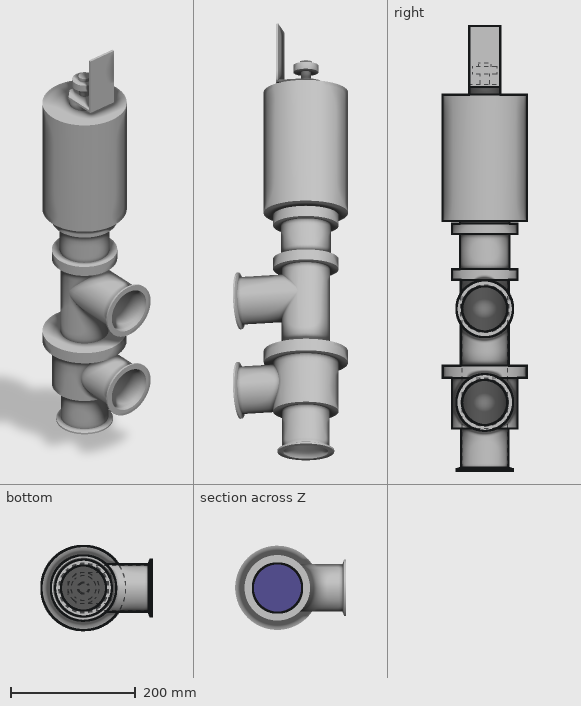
import cadquery as cq
import math

PIPE_DIAMETER = 76.3
PIPE_WALL = 2.0
BORE_DIAMETER = PIPE_DIAMETER - 2 * PIPE_WALL
FERRULE_DIAMETER = 91.0
FERRULE_RIM = 2.85
FERRULE_TAPER_ANGLE = 20.0
FERRULE_TAPER = (FERRULE_DIAMETER - PIPE_DIAMETER) / 2 * math.tan(math.radians(FERRULE_TAPER_ANGLE))

UPPER_TUBE_DIAMETER = 77.3
CHAMBER_DIAMETER = 105.0
BODY_FLANGE_DIAMETER = 135.0
CHAMBER_BOTTOM = 68.0
BODY_FLANGE_BOTTOM = 149.5
BODY_FLANGE_TOP = 169.0
COLLAR_DIAMETER = 105.0
COLLAR_THICKNESS = 17.0
HOUSING_TOP = 323.5
COLLAR_BOTTOM = HOUSING_TOP - COLLAR_THICKNESS
LOWER_BRANCH_HEIGHT = 110.0
BRANCH_SPACING = 150.0
BRANCH_HEIGHTS = (LOWER_BRANCH_HEIGHT, LOWER_BRANCH_HEIGHT + BRANCH_SPACING)
BRANCH_REACH = 110.0

NECK_DIAMETER = 80.0
NECK_COLLAR_BOTTOM = 379.5
NECK_COLLAR_TOP = NECK_COLLAR_BOTTOM + COLLAR_THICKNESS
CYLINDER_DIAMETER = 135.5
CYLINDER_BOTTOM = 400.5
CYLINDER_TOP = 603.0
BOSS_DIAMETER = 50.0
BOSS_LAYER = 6.0
BOSS_LAYERS = 2
BOSS_TOP = CYLINDER_TOP + BOSS_LAYERS * BOSS_LAYER
STEM_DIAMETER = 16.0
KNOB_DIAMETER = 40.0
KNOB_BOTTOM = 636.5
KNOB_TOP = 648.0
TIP_DIAMETER = 19.5
TIP_TOP = 654.0

BRACKET_WIDTH = BOSS_DIAMETER
BRACKET_THICKNESS = 4.0
BRACKET_TOP = 713.15
BRACKET_REACH = 44.0
BRACKET_CORNER = BRACKET_WIDTH / (2 + math.sqrt(2))


def disc(diameter, bottom, top):
    """Round section on the main axis between two heights."""
    return cq.Workplane("XY").workplane(offset=bottom).circle(diameter / 2).extrude(top - bottom)


def stack(sections):
    """Join (diameter, bottom, top) round sections on the main axis."""
    body = disc(*sections[0])
    for section in sections[1:]:
        body = body.union(disc(*section), clean=False)
    return body


def pipe_end(length):
    """Solid pipe along +Z from the origin, flaring to a ferrule rim at its far end."""
    pipe_radius = PIPE_DIAMETER / 2
    rim_radius = FERRULE_DIAMETER / 2
    rim_start = length - FERRULE_RIM
    outline = [
        (0, 0),
        (pipe_radius, 0),
        (pipe_radius, rim_start - FERRULE_TAPER),
        (rim_radius, rim_start),
        (rim_radius, length),
        (0, length),
    ]
    return cq.Workplane("XZ").polyline(outline).close().revolve(360, (0, 0), (0, 1))


def branch(solid, height):
    """Turn a solid that points along +Z to point along +X at the given height."""
    return solid.rotate((0, 0, 0), (0, 1, 0), 90).translate((0, 0, height))


def build_housing():
    """Two-chamber valve housing with a bottom port and two side ports."""
    housing = stack([
        (CHAMBER_DIAMETER, CHAMBER_BOTTOM, BODY_FLANGE_BOTTOM),
        (BODY_FLANGE_DIAMETER, BODY_FLANGE_BOTTOM, BODY_FLANGE_TOP),
        (UPPER_TUBE_DIAMETER, BODY_FLANGE_TOP, COLLAR_BOTTOM),
        (COLLAR_DIAMETER, COLLAR_BOTTOM, HOUSING_TOP),
    ])
    bottom_port = pipe_end(CHAMBER_BOTTOM).rotate((0, 0, 0), (1, 0, 0), 180)
    housing = housing.union(bottom_port.translate((0, 0, CHAMBER_BOTTOM)))
    for height in BRANCH_HEIGHTS:
        housing = housing.union(branch(pipe_end(BRANCH_REACH), height))

    housing = housing.cut(disc(BORE_DIAMETER, 0, COLLAR_BOTTOM))
    for height in BRANCH_HEIGHTS:
        housing = housing.cut(branch(disc(BORE_DIAMETER, 0, BRANCH_REACH), height))
    return housing


def build_actuator():
    """Actuator cylinder with its neck below and its stem and knob above."""
    sections = [
        (NECK_DIAMETER, HOUSING_TOP, CYLINDER_BOTTOM),
        (COLLAR_DIAMETER, NECK_COLLAR_BOTTOM, NECK_COLLAR_TOP),
        (CYLINDER_DIAMETER, CYLINDER_BOTTOM, CYLINDER_TOP),
    ]
    for layer in range(BOSS_LAYERS):
        layer_bottom = CYLINDER_TOP + layer * BOSS_LAYER
        sections.append((BOSS_DIAMETER, layer_bottom, layer_bottom + BOSS_LAYER))
    sections += [
        (STEM_DIAMETER, BOSS_TOP, KNOB_BOTTOM),
        (KNOB_DIAMETER, KNOB_BOTTOM, KNOB_TOP),
        (TIP_DIAMETER, KNOB_TOP, TIP_TOP),
    ]
    return stack(sections)


def build_bracket():
    """L-shaped plate with cut corners, a stem hole and an upright leg."""
    plate_length = BRACKET_WIDTH / 2 + BRACKET_REACH
    plate = (
        cq.Workplane("XY")
        .box(plate_length, BRACKET_WIDTH, BRACKET_THICKNESS, centered=(False, True, False))
        .translate((-BRACKET_WIDTH / 2, 0, BOSS_TOP))
        .edges("|Z and <X")
        .chamfer(BRACKET_CORNER)
    )
    upright = (
        cq.Workplane("XY")
        .box(BRACKET_THICKNESS, BRACKET_WIDTH, BRACKET_TOP - BOSS_TOP, centered=(False, True, False))
        .translate((BRACKET_REACH - BRACKET_THICKNESS, 0, BOSS_TOP))
    )
    stem_hole = disc(STEM_DIAMETER, BOSS_TOP, BOSS_TOP + BRACKET_THICKNESS)
    return plate.union(upright).cut(stem_hole)


housing = build_housing()
actuator = build_actuator()
bracket = build_bracket()

result = cq.Compound.makeCompound([housing.val(), actuator.val(), bracket.val()])